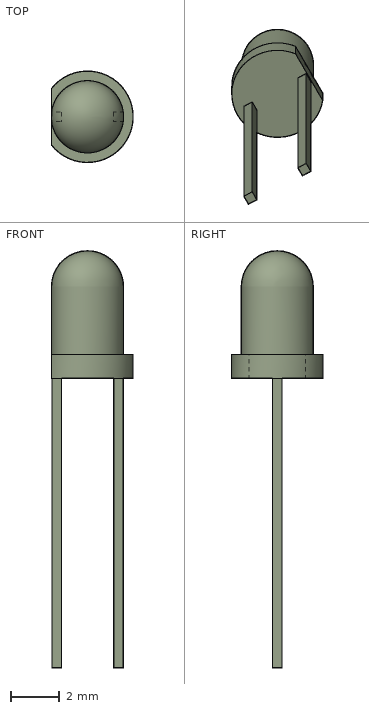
import cadquery as cq

lens_diameter = 3.0
lens_radius = lens_diameter / 2
lens_top = 5.3
dome_base = lens_top - lens_radius

flange_diameter = 3.8
flange_radius = flange_diameter / 2
flange_height = 1.0
flat_x = -lens_radius

lead_width = 0.4
lead_length = 12.0
lead_pitch = 2.56
lead_offset = 0.01


def make_flange():
    """Round flange with a flat on its -X side."""
    disc = cq.Workplane("XY").circle(flange_radius).extrude(flange_height)
    kept_region = (
        cq.Workplane("XY")
        .center(flat_x, 0)
        .rect(flange_diameter, flange_diameter, centered=(False, True))
        .extrude(flange_height)
    )
    return disc.intersect(kept_region)


def make_lens():
    """Cylinder with a hemispherical end, revolved about Z."""
    arc_middle = lens_radius * 0.5 ** 0.5
    return (
        cq.Workplane("XZ")
        .lineTo(lens_radius, 0)
        .lineTo(lens_radius, dome_base)
        .threePointArc((arc_middle, dome_base + arc_middle), (0, lens_top))
        .close()
        .revolve(360, (0, 0, 0), (0, 1, 0))
    )


def make_housing():
    """Lens and flange moulded as one piece."""
    return make_lens().union(make_flange())


def make_lead(x):
    """Straight square lead ending at the underside of the flange."""
    return cq.Workplane("XY").center(x, 0).rect(lead_width, lead_width).extrude(-lead_length)


housing = make_housing()
leads = [make_lead(lead_offset + side * lead_pitch / 2) for side in (-1, 1)]

result = cq.Compound.makeCompound([housing.val(), *[lead.val() for lead in leads]])